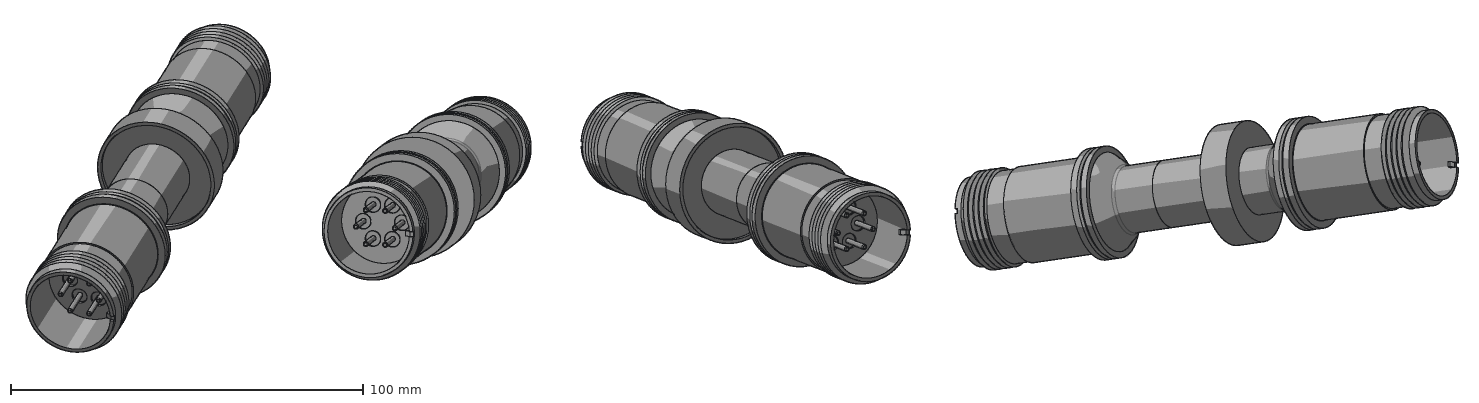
import cadquery as cq

LENGTH = 148.7
TOLERANCE = 0.01
FRONT_Y = -LENGTH / 2

MOUTH_R = 13.0
MOUTH_LENGTH = 2.0
THREAD_CREST_R = 14.3
THREAD_ROOT_R = 13.4
THREAD_FIRST_CREST = 3.4
THREAD_COUNT = 5
THREAD_CREST_SPAN = 6.8
THREAD_PITCH = THREAD_CREST_SPAN / (THREAD_COUNT - 1)
THREAD_RUNOUT = 0.3
NECK_END = 16.2
BODY_R = 13.8
COLLAR_R = 16.0
COLLAR_START = 39.1
COLLAR_END = 44.2
COLLAR_FILLET = 0.1
GROOVE_START = 41.0
GROOVE_WIDTH = 1.3
GROOVE_DEPTH = 0.6
SHOULDER_R = 14.3
SHOULDER_END = 49.4
SHOULDER_BULGE = 0.3
SHOULDER_FILLET = 1.2

STEM_R = 9.7
JOINT_FROM_FRONT = 62.0
FLANGE_R = 17.4
FLANGE_START = 58.7
FLANGE_WIDTH = 8.3
FLANGE_RIM = 1.0
FLANGE_RECESS_DEPTH = 1.3

SOCKET_R = 11.9
SOCKET_DEPTH = 17.8
PIN_COUNT = 6
PIN_CIRCLE_R = 5.7
PIN_R = 0.7
PIN_LENGTH = 10.0
PIN_TIP_CHAMFER = 0.3
PIN_SEAT_R = 2.2
PIN_SEAT_DEPTH = 0.7

KEY_WIDTH = 1.5
KEY_HEIGHT = 1.5
KEY_START = 0.7
KEY_NOSE_LENGTH = 0.6
KEY_LENGTH = 1.3
OVERLAP = 0.5


def connector_shell(total_length):
    """Turned connector and stem, open end at Y = 0 and running toward +Y."""
    outline = cq.Workplane("XY").moveTo(0, 0).lineTo(MOUTH_R, 0).lineTo(MOUTH_R, MOUTH_LENGTH)
    for tooth in range(THREAD_COUNT):
        crest = THREAD_FIRST_CREST + tooth * THREAD_PITCH
        outline = outline.lineTo(THREAD_CREST_R, crest)
        if tooth < THREAD_COUNT - 1:
            outline = outline.lineTo(THREAD_ROOT_R, crest + THREAD_PITCH / 2)
    outline = outline.lineTo(THREAD_ROOT_R, crest + THREAD_RUNOUT).lineTo(THREAD_ROOT_R, NECK_END)
    outline = outline.lineTo(BODY_R, NECK_END).lineTo(BODY_R, COLLAR_START - COLLAR_FILLET)
    outline = outline.radiusArc((BODY_R + COLLAR_FILLET, COLLAR_START), -COLLAR_FILLET)
    outline = outline.lineTo(COLLAR_R, COLLAR_START).lineTo(COLLAR_R, GROOVE_START)
    outline = outline.lineTo(COLLAR_R - GROOVE_DEPTH, GROOVE_START + GROOVE_WIDTH / 2)
    outline = outline.lineTo(COLLAR_R, GROOVE_START + GROOVE_WIDTH).lineTo(COLLAR_R, COLLAR_END)
    outline = outline.lineTo(SHOULDER_R, COLLAR_END)
    outline = outline.sagittaArc((STEM_R, SHOULDER_END), -SHOULDER_BULGE)
    outline = outline.lineTo(STEM_R, total_length).lineTo(0, total_length).close()
    shell = outline.revolve(360, (0, 0, 0), (0, 1, 0))
    stem_corner = shell.edges("%CIRCLE").filter(lambda edge: abs(edge.Center().y - SHOULDER_END) < TOLERANCE)
    return stem_corner.fillet(SHOULDER_FILLET)


def rod_along_y(radius, start, end):
    """Cylinder about the Y axis between two Y stations."""
    return cq.Workplane("XZ", origin=(0, start, 0)).circle(radius).extrude(start - end)


def pin_rods(radius, start, end):
    """Ring of cylinders at the contact places."""
    return (
        cq.Workplane("XZ", origin=(0, start, 0))
        .polarArray(PIN_CIRCLE_R, 0, 360, PIN_COUNT)
        .circle(radius)
        .extrude(start - end)
    )


def contact_pins(seat_floor):
    """Contacts standing on the seat floor, with chamfered tips."""
    pins = pin_rods(PIN_R, seat_floor - PIN_LENGTH, seat_floor + OVERLAP)
    return pins.faces("<Y").chamfer(PIN_TIP_CHAMFER)


def rim_slot():
    """Slot through the rim on the +X side."""
    slot = cq.Workplane("XY").box(MOUTH_R, KEY_START, KEY_WIDTH, centered=(False, False, True))
    return slot.translate((SOCKET_R - KEY_HEIGHT, 0, 0))


def socket_key():
    """Short key on the socket wall on the +X side, with a sloped nose."""
    key_tip_r = SOCKET_R - KEY_HEIGHT
    key_end = KEY_START + KEY_LENGTH
    return (
        cq.Workplane("XY")
        .moveTo(SOCKET_R + OVERLAP, KEY_START)
        .lineTo(SOCKET_R, KEY_START)
        .lineTo(key_tip_r, KEY_START + KEY_NOSE_LENGTH)
        .lineTo(key_tip_r, key_end)
        .lineTo(SOCKET_R + OVERLAP, key_end)
        .close()
        .extrude(KEY_WIDTH / 2, both=True)
    )


def connector(total_length):
    """One connector with its stem, socket, contacts, key and rim slot."""
    seat_floor = SOCKET_DEPTH + PIN_SEAT_DEPTH
    body = connector_shell(total_length)
    body = body.cut(rod_along_y(SOCKET_R, 0, SOCKET_DEPTH))
    body = body.cut(pin_rods(PIN_SEAT_R, SOCKET_DEPTH, seat_floor))
    body = body.union(contact_pins(seat_floor))
    return body.union(socket_key()).cut(rim_slot())


def flange():
    """Disc around the stem, with a shallow recess inside its rim on the side toward the joint."""
    flange_end = FLANGE_START + FLANGE_WIDTH
    disc = rod_along_y(FLANGE_R, FLANGE_START, flange_end)
    recess = rod_along_y(FLANGE_R - FLANGE_RIM, flange_end - FLANGE_RECESS_DEPTH, flange_end)
    return disc.cut(recess)


front_connector = connector(JOINT_FROM_FRONT).translate((0, FRONT_Y, 0))

rear_connector = connector(LENGTH - JOINT_FROM_FRONT).union(flange())
rear_connector = rear_connector.rotate((0, 0, 0), (0, 0, 1), 180).translate((0, -FRONT_Y, 0))

result = cq.Compound.makeCompound([front_connector.val(), rear_connector.val()])